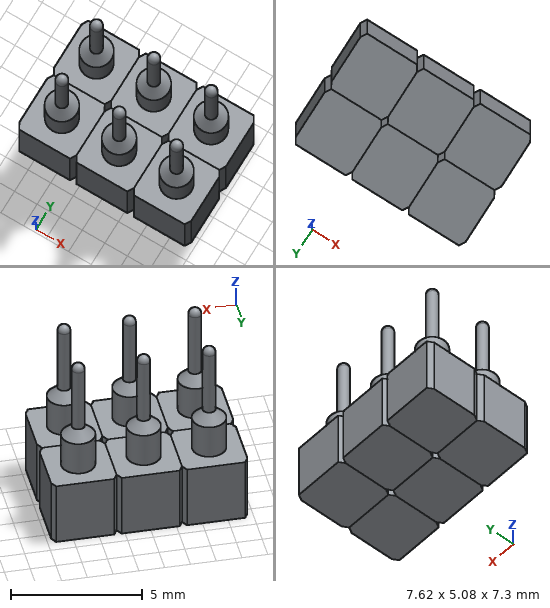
import cadquery as cq

columns = 3
rows = 2
header_length = 7.62
pitch = header_length / columns

block_height = 2.61
corner_cut_x = 0.145
corner_cut_y = 0.25

total_height = 7.3
barrel_diameter = 1.32
barrel_length = 1.38
cone_length = 0.4
tip_diameter = 0.5

barrel_top = block_height + barrel_length
cone_top = barrel_top + cone_length
tip_radius = tip_diameter / 2
dome_base = total_height - tip_radius


def make_block():
    """Square block with its four upright edges cut off at a slant."""
    half = pitch / 2
    inner_x = half - corner_cut_x
    inner_y = half - corner_cut_y
    outline = [
        (inner_x, half),
        (half, inner_y),
        (half, -inner_y),
        (inner_x, -half),
        (-inner_x, -half),
        (-half, -inner_y),
        (-half, inner_y),
        (-inner_x, half),
    ]
    return cq.Workplane("XY").polyline(outline).close().extrude(block_height)


def make_pin():
    """Round barrel, cone and slender tip with a hemispherical end."""
    barrel_radius = barrel_diameter / 2
    dome_centre = cq.Vector(0, 0, dome_base)
    dome_middle = dome_centre + cq.Vector(-1, 0, 1).normalized() * tip_radius
    return (
        cq.Workplane("XZ")
        .moveTo(0, block_height)
        .lineTo(-barrel_radius, block_height)
        .lineTo(-barrel_radius, barrel_top)
        .lineTo(-tip_radius, cone_top)
        .lineTo(-tip_radius, dome_base)
        .threePointArc((dome_middle.x, dome_middle.z), (0, total_height))
        .close()
        .revolve(360, (0, 0), (0, 1))
    )


def make_contact_cell():
    """One cell: a block and its pin as a single solid, centred on the Z axis."""
    return make_block().union(make_pin()).solids()


contact_cells = []
for column in range(columns):
    for row in range(rows):
        x = (column - (columns - 1) / 2) * pitch
        y = (row - (rows - 1) / 2) * pitch
        contact_cells.append(make_contact_cell().translate((x, y, 0)).val())

result = cq.Compound.makeCompound(contact_cells)